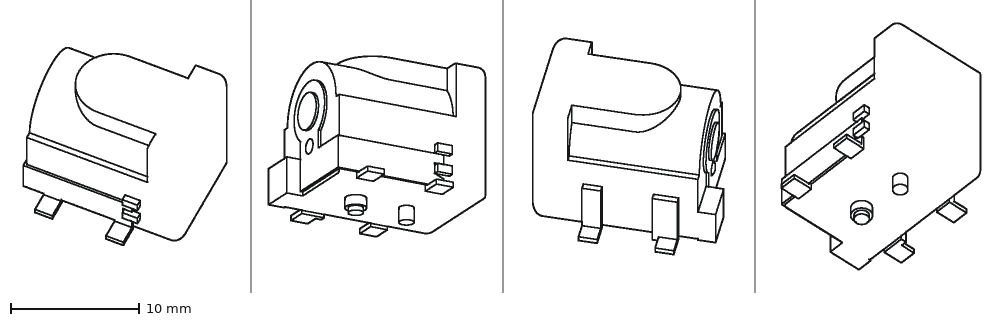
import cadquery as cq
import math


overall_length = 14.8
overall_width = 12.6

housing_length = 13.4
housing_width = 9.0
housing_height = 11.0
half_width = housing_width / 2
barrel_radius = 4.0
barrel_axis_z = 6.5
flange_length = 3.0
flange_start = housing_length - flange_length
end_round = 1.0
edge_round = 0.2

pad_start = 2.4
pad_width = 6.0

block_size = 3.0
block_reach = overall_length - housing_length

front_peg_x = 3.9
rear_peg_x = 8.4
peg_diameter = 1.7
peg_tip_diameter = 1.2
peg_shoulder = 0.8
peg_length = 1.2

nub_start = 8.47
nub_length = 1.3
nub_height = 0.7
nub_reach = 0.5
nub_bottoms = [1.4, 3.1]

foot_width = 1.5
foot_drop = 0.2
foot_top = 0.2
front_foot_x = 2.3
foot_centers = [front_foot_x, rear_peg_x]

plate_thickness = 0.2
plate_bottom = 0.33
plate_top = block_size
plate_outer_y = -half_width - plate_thickness
plate_end = rear_peg_x + foot_width / 2
ring_diameter = 5.0
stem_half_width = half_width - block_size
notch_start = 8.35
notch_top = 2.2
notch_low_inner = 1.35
notch_low_outer = 1.0
dimple_diameter = 1.2
dimple_sphere_radius = 0.999
dimple_z = 3.6

pin_head_diameter = 3.0
pin_head_thickness = 0.2

terminal_thickness = 0.5
terminal_top = 4.2
front_terminal_width = 2.0


def box(x_range, y_range, z_range):
    """Box between pairs of limits along X, Y and Z."""
    size = [high - low for low, high in (x_range, y_range, z_range)]
    corner = cq.Vector(x_range[0], y_range[0], z_range[0])
    return cq.Workplane(cq.Solid.makeBox(*size, corner))


def x_cylinder(radius, center_z, x_low, x_high):
    """Cylinder along X on the mid plane."""
    return cq.Workplane(
        cq.Solid.makeCylinder(radius, x_high - x_low, cq.Vector(x_low, 0, center_z), cq.Vector(1, 0, 0))
    )


def hanging_cylinder(diameter, center_x, length):
    """Cylinder that hangs down from the underside of the housing."""
    return cq.Workplane("XY").center(center_x, 0).circle(diameter / 2).extrude(-length)


def make_rounded_block():
    """Full block with a rounded +X end and softly rounded long edges."""
    block = box((0, housing_length), (-half_width, half_width), (0, housing_height))
    block = block.faces(">X").edges().fillet(end_round)
    return block.edges("|X").fillet(edge_round)


def make_barrel_envelope():
    """Everything that stays of the block: side walls, barrel, top pad and flange."""
    y_limits = (-half_width, half_width)
    walls = box((0, housing_length), y_limits, (0, barrel_axis_z))
    barrel = x_cylinder(barrel_radius, barrel_axis_z, 0, housing_length)
    flange = box((flange_start, housing_length), y_limits, (0, housing_height))
    pad_radius = pad_width / 2
    pad_center_x = pad_start + pad_radius
    pad = box((pad_center_x, housing_length), (-pad_radius, pad_radius), (barrel_axis_z, housing_height))
    pad_nose = (
        cq.Workplane("XY", origin=(pad_center_x, 0, barrel_axis_z))
        .circle(pad_radius)
        .extrude(housing_height - barrel_axis_z)
    )
    return walls.union(barrel).union(flange).union(pad).union(pad_nose)


def make_housing():
    """Barrel housing with its corner block, locating pegs and nubs."""
    body = make_rounded_block().intersect(make_barrel_envelope())
    body = body.union(box((-block_reach, 0), (half_width - block_size, half_width), (0, block_size)))
    body = body.union(hanging_cylinder(peg_diameter, front_peg_x, peg_shoulder))
    for peg_x in (front_peg_x, rear_peg_x):
        body = body.union(hanging_cylinder(peg_tip_diameter, peg_x, peg_length))
    for nub_bottom in nub_bottoms:
        nub = box(
            (nub_start, nub_start + nub_length),
            (-half_width - nub_reach, -half_width),
            (nub_bottom, nub_bottom + nub_height),
        )
        body = body.union(nub)
    return body


def make_foot(center_x, side):
    """Flat solder foot that points to +Y (side = 1) or -Y (side = -1)."""
    inner = side * half_width
    outer = side * overall_width / 2
    x_limits = (center_x - foot_width / 2, center_x + foot_width / 2)
    return box(x_limits, (min(inner, outer), max(inner, outer)), (-foot_drop, foot_top))


def make_dimple():
    """Shallow spherical cap on the outer side of the contact plate."""
    rim_radius = dimple_diameter / 2
    cap_height = dimple_sphere_radius - math.sqrt(dimple_sphere_radius**2 - rim_radius**2)
    half_profile = (
        cq.Workplane("XY", origin=(-plate_thickness, 0, dimple_z))
        .lineTo(0, rim_radius)
        .radiusArc((-cap_height, 0), -dimple_sphere_radius)
        .close()
    )
    return half_profile.revolve(360, (0, 0), (1, 0))


def make_contact_plate():
    """Bent plate: keyhole front, side leg with a notched end, and two feet."""
    x_front = (-plate_thickness, 0)
    base = box(x_front, (plate_outer_y, stem_half_width), (plate_bottom, plate_top))
    stem = box(x_front, (-stem_half_width, stem_half_width), (plate_bottom, barrel_axis_z))
    ring = x_cylinder(ring_diameter / 2, barrel_axis_z, *x_front)
    side_outline = [
        (-plate_thickness, plate_bottom),
        (plate_end, plate_bottom),
        (plate_end, notch_low_outer),
        (notch_start, notch_low_inner),
        (notch_start, notch_top),
        (plate_end, notch_top),
        (plate_end, plate_top),
        (-plate_thickness, plate_top),
    ]
    side_leg = (
        cq.Workplane("XZ", origin=(0, -half_width, 0)).polyline(side_outline).close().extrude(plate_thickness)
    )
    plate = base.union(stem).union(ring).union(side_leg).union(make_dimple())
    for foot_x in foot_centers:
        leg = box(
            (foot_x - foot_width / 2, foot_x + foot_width / 2),
            (plate_outer_y, -half_width),
            (-foot_drop, plate_bottom),
        )
        plate = plate.union(leg).union(make_foot(foot_x, -1))
    return plate


def make_pin_head():
    """Round head of the center pin, seated on the contact plate."""
    return x_cylinder(
        pin_head_diameter / 2, barrel_axis_z, -plate_thickness - pin_head_thickness, -plate_thickness
    )


def make_side_terminal(center_x, wall_width):
    """L-shaped terminal: upright wall against the +Y side, and a foot."""
    wall_start = center_x - foot_width / 2
    wall = box(
        (wall_start, wall_start + wall_width),
        (half_width, half_width + terminal_thickness),
        (-foot_drop, terminal_top),
    )
    return wall.union(make_foot(center_x, 1))


housing = make_housing()
contact_plate = make_contact_plate()
pin_head = make_pin_head()
side_terminals = [
    make_side_terminal(foot_x, wall_width)
    for foot_x, wall_width in zip(foot_centers, (front_terminal_width, foot_width))
]

result = cq.Compound.makeCompound(
    [
        housing.val(),
        contact_plate.val(),
        pin_head.val(),
        *[terminal.val() for terminal in side_terminals],
    ]
)